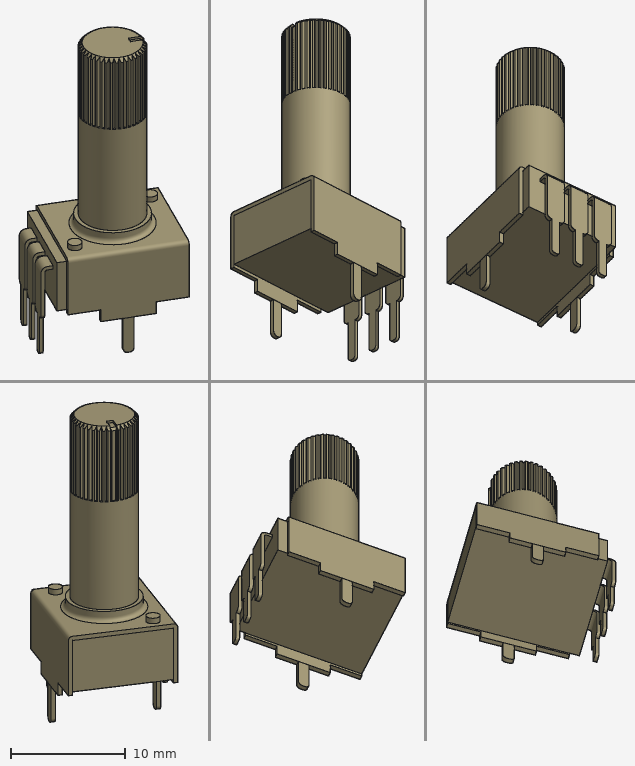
import cadquery as cq
import math


sheet = 0.4
cover_width = 10.0
cover_depth = 11.0
cover_height = 5.6
tab_width = 5.05
tab_drop = 1.17
stud_diameter = 1.25
stud_height = 0.52
stud_x = 3.1
stud_y = 4.33

base_front = 6.4
base_height = 4.87

pin_width = 1.0
pin_bottom = -10.25
pin_tip_radius = 0.43

terminal_count = 3
terminal_pitch = 2.5
terminal_thickness = 0.35
terminal_front = 7.48
terminal_top = -1.38
terminal_bend_radius = 0.6
terminal_width = 1.8
terminal_shoulder = -6.65
terminal_shoulder_radius = 0.43
lead_width = 0.83
lead_tip_radius = 0.32
terminal_bottom = -10.45

bushing_diameter = 6.8
bushing_height = 0.97
flare_radius = 0.4

shaft_diameter = 6.0
shaft_top = 18.2
shaft_chamfer = 0.35
knurl_length = 7.02
groove_count = 40
groove_width = 0.3
groove_depth = 0.3
marker_width = 0.6
marker_depth = 0.2
marker_inner_end = 1.55
chamfer_angle = 45

inner_width = cover_width - 2 * sheet
tab_bottom = -cover_height - tab_drop
base_bottom = -sheet - base_height
shaft_radius = shaft_diameter / 2
knurl_bottom = shaft_top - knurl_length


def make_cover():
    """Folded sheet with rounded bends, a tab on each side wall and two studs on top."""
    shell = (
        cq.Workplane("XY")
        .box(cover_width, cover_depth, cover_height, centered=(True, True, False))
        .translate((0, 0, -cover_height))
        .edges("|Y and >Z")
        .fillet(sheet)
    )
    tabs = (
        cq.Workplane("XY")
        .workplane(offset=tab_bottom)
        .rect(cover_width, tab_width)
        .extrude(tab_drop)
    )
    inside_height = -sheet - tab_bottom
    inside = (
        cq.Workplane("XY")
        .workplane(offset=tab_bottom)
        .rect(inner_width, cover_depth)
        .extrude(inside_height)
    )
    studs = (
        cq.Workplane("XY")
        .pushPoints([(-stud_x, stud_y), (stud_x, -stud_y)])
        .circle(stud_diameter / 2)
        .extrude(stud_height)
    )
    shaft_hole = cq.Workplane("XY").circle(shaft_radius).extrude(-sheet)
    return shell.union(tabs).cut(inside).union(studs).cut(shaft_hole)


def make_base():
    """Block that fills the cover and stands out at the front."""
    back = cover_depth / 2
    return (
        cq.Workplane("XY")
        .workplane(offset=base_bottom)
        .center(0, (back - base_front) / 2)
        .rect(inner_width, back + base_front)
        .extrude(base_height)
    )


def make_mounting_pin(side):
    """Flat pin under a side tab; side is -1 for the -X wall and 1 for the +X wall."""
    length = tab_bottom - pin_bottom
    return (
        cq.Workplane("XY")
        .box(sheet, pin_width, length)
        .edges("|X and <Z")
        .fillet(pin_tip_radius)
        .translate((side * (cover_width - sheet) / 2, 0, (tab_bottom + pin_bottom) / 2))
    )


def make_terminal(x):
    """Strip bent down in front of the base, narrowing to a lead with a rounded tip."""
    inner_radius = terminal_bend_radius - terminal_thickness
    strip_length = terminal_front - base_front
    side_profile = (
        cq.Workplane("YZ")
        .moveTo(-base_front, terminal_top)
        .hLine(terminal_bend_radius - strip_length)
        .radiusArc((-terminal_front, terminal_top - terminal_bend_radius), -terminal_bend_radius)
        .lineTo(-terminal_front, terminal_bottom)
        .hLine(terminal_thickness)
        .lineTo(terminal_thickness - terminal_front, terminal_top - terminal_bend_radius)
        .radiusArc(
            (terminal_bend_radius - terminal_front, terminal_top - terminal_thickness),
            inner_radius,
        )
        .lineTo(-base_front, terminal_top - terminal_thickness)
        .close()
        .extrude(terminal_width / 2, both=True)
    )
    blade_height = terminal_top - terminal_shoulder
    blade = (
        cq.Workplane("XY")
        .box(terminal_width, strip_length, blade_height)
        .edges("|Y and <Z")
        .fillet(terminal_shoulder_radius)
        .translate((0, 0, terminal_shoulder + blade_height / 2))
    )
    lead_height = terminal_top - terminal_bottom
    lead = (
        cq.Workplane("XY")
        .box(lead_width, strip_length, lead_height)
        .edges("|Y and <Z")
        .fillet(lead_tip_radius)
        .translate((0, 0, terminal_bottom + lead_height / 2))
    )
    outline = blade.union(lead).translate((0, -(base_front + terminal_front) / 2, 0))
    return side_profile.intersect(outline).translate((x, 0, 0))


def make_bushing():
    """Ring around the shaft whose foot flares out in a concave curve."""
    radius = bushing_diameter / 2
    return (
        cq.Workplane("XZ")
        .moveTo(shaft_radius, 0)
        .lineTo(radius + flare_radius, 0)
        .radiusArc((radius, flare_radius), flare_radius)
        .lineTo(radius, bushing_height)
        .lineTo(shaft_radius, bushing_height)
        .close()
        .revolve(360, (0, 0, 0), (0, 1, 0))
    )


def make_knurl_grooves():
    """V grooves around the end of the shaft, set between lands that face the X and Y axes."""
    half_angle = groove_width / shaft_diameter
    outer_radius = shaft_radius + groove_depth
    grooves = cq.Workplane("XY").workplane(offset=knurl_bottom)
    for i in range(groove_count):
        middle = (i + 0.5) * 2 * math.pi / groove_count
        corners = [
            (shaft_radius - groove_depth, middle),
            (shaft_radius, middle - half_angle),
            (outer_radius, middle - half_angle),
            (outer_radius, middle + half_angle),
            (shaft_radius, middle + half_angle),
        ]
        grooves = grooves.polyline([(r * math.cos(a), r * math.sin(a)) for r, a in corners]).close()
    return grooves.extrude(knurl_length)


def make_marker_groove():
    """Shallow groove of even depth over the end face, the chamfer and the +Y side."""
    corner_shift = marker_depth * math.tan(math.radians(chamfer_angle / 2))
    floor_z = shaft_top - marker_depth
    floor_y = shaft_radius - marker_depth
    chamfer_y = shaft_radius - shaft_chamfer - corner_shift
    chamfer_z = shaft_top - shaft_chamfer - corner_shift
    return (
        cq.Workplane("YZ")
        .moveTo(marker_inner_end, shaft_top)
        .lineTo(marker_inner_end, floor_z)
        .lineTo(chamfer_y, floor_z)
        .lineTo(floor_y, chamfer_z)
        .lineTo(floor_y, knurl_bottom)
        .lineTo(shaft_radius, knurl_bottom)
        .lineTo(shaft_radius, shaft_top)
        .close()
        .extrude(marker_width / 2, both=True)
    )


def make_shaft():
    """Round shaft standing on the base, with a chamfered, knurled and marked end."""
    cylinder = (
        cq.Workplane("XY")
        .workplane(offset=-sheet)
        .circle(shaft_radius)
        .extrude(shaft_top + sheet)
        .faces(">Z")
        .chamfer(shaft_chamfer)
    )
    return cylinder.cut(make_knurl_grooves()).cut(make_marker_groove())


cover = make_cover()
base = make_base()
bushing = make_bushing()
shaft = make_shaft()
mounting_pins = [make_mounting_pin(side) for side in (-1, 1)]
terminals = [
    make_terminal((i - (terminal_count - 1) / 2) * terminal_pitch) for i in range(terminal_count)
]

result = cq.Compound.makeCompound(
    [
        cover.val(),
        base.val(),
        bushing.val(),
        shaft.val(),
        *[pin.val() for pin in mounting_pins],
        *[terminal.val() for terminal in terminals],
    ]
)